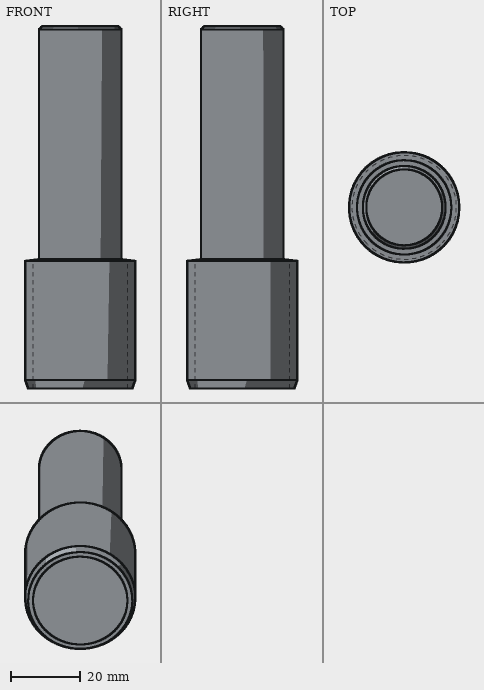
import cadquery as cq
import math

total_length = 105.0
shank_radius = 12.0
tip_chamfer = 1.0
root_radius = 13.67
root_length = 37.0

sleeve_radius = 16.0
rim_height = root_length
crown_angle = 7.0
lead_in_length = 2.5
lead_in_angle = 20.0

crown_rise = (sleeve_radius - shank_radius) * math.tan(math.radians(crown_angle))
sleeve_length = rim_height + crown_rise
lead_in_depth = lead_in_length * math.tan(math.radians(lead_in_angle))


def revolve_profile(points):
    """Revolve a closed outline of (radius, height) points about the Z axis."""
    return cq.Workplane("XZ").polyline(points).close().revolve(360, (0, 0, 0), (0, 1, 0))


def make_pin():
    """Root with a flat shoulder, carrying a shank with a chamfered tip."""
    return revolve_profile([
        (0, 0),
        (root_radius, 0),
        (root_radius, root_length),
        (shank_radius, root_length),
        (shank_radius, total_length - tip_chamfer),
        (shank_radius - tip_chamfer, total_length),
        (0, total_length),
    ])


def make_sleeve():
    """Ring around the root, tapered at the bottom, with a thin conical lip over the shoulder."""
    return revolve_profile([
        (root_radius, 0),
        (sleeve_radius - lead_in_depth, 0),
        (sleeve_radius, lead_in_length),
        (sleeve_radius, rim_height),
        (shank_radius, sleeve_length),
        (shank_radius, root_length),
        (root_radius, root_length),
    ])


pin = make_pin()
sleeve = make_sleeve()

result = cq.Compound.makeCompound([pin.val(), sleeve.val()])